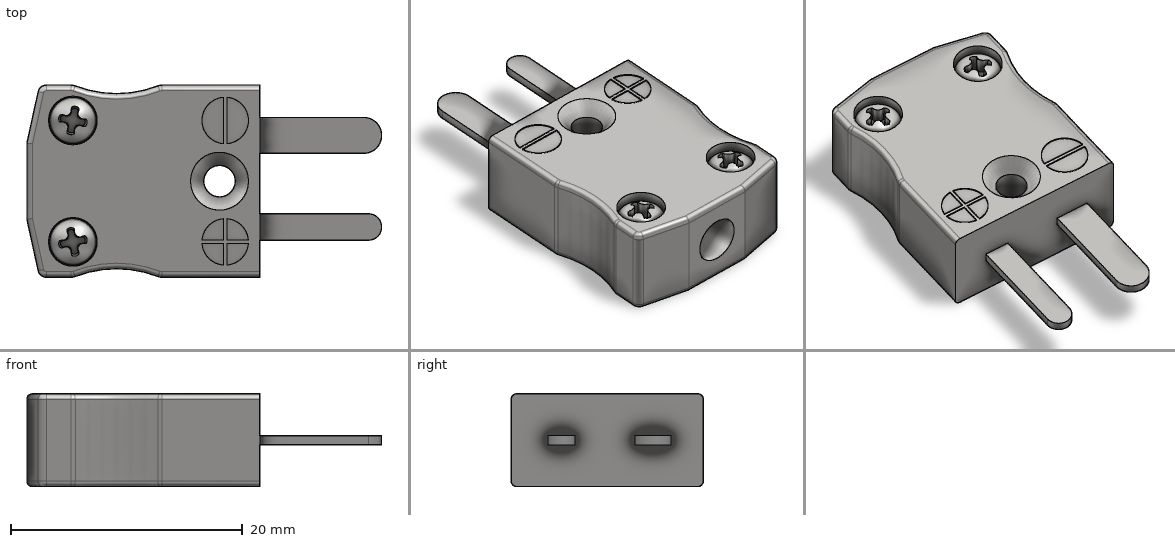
import cadquery as cq
import math


TOTAL_LENGTH = 30.65
HOUSING_LENGTH = 20.15
HOUSING_WIDTH = 16.6
HOUSING_HEIGHT = 8.03
TOP_Z = HOUSING_HEIGHT / 2
SIDE_Y = HOUSING_WIDTH / 2
NOSE_HALF_WIDTH = 3.28
SHOULDER_X = 1.1
SHOULDER_RADIUS = 0.75
EDGE_RADIUS = 0.5

GRIP_CENTER_X = 7.75
GRIP_HALF_LENGTH = 3.75
GRIP_DEPTH = 0.75
GRIP_END_RADIUS = 1.0

CABLE_HOLE_DIAMETER = 4.0
CABLE_HOLE_DEPTH = 9.2

MOUNT_X = 16.65
MOUNT_DIAMETER = 2.7
MOUNT_SINK_DIAMETER = 5.0
MOUNT_SINK_ANGLE = 90.0

MARK_X = 17.13
MARK_DIAMETER = 4.0
MARK_DEPTH = 0.1
MARK_BAR_WIDTH = 0.3

SCREW_X = 3.98
ROW_Y = 5.25
SCREW_POCKET_DIAMETER = 4.2
SCREW_POCKET_DEPTH = 2.0
SCREW_DIAMETER = 4.0
SCREW_RIM_BEVEL = 0.1
SCREW_RIM_DEPTH = 0.8
SCREW_DOME_HEIGHT = 0.75
DOME_TOP_Z = TOP_Z - SCREW_RIM_DEPTH + SCREW_DOME_HEIGHT
SCREW_TURN = 11.0

RECESS_FLOOR_DEPTH = 1.6
RECESS_TIP_RADIUS = 1.3
RECESS_ARM_HALF_WIDTH = 0.35
RECESS_ROOT_RADIUS = 0.6
FLOOR_TIP_RADIUS = 1.07
FLOOR_ARM_HALF_WIDTH = 0.28
FLOOR_ROOT_RADIUS = 0.55
ARM_TIP_BULGE = 0.15
ARM_SIDE_LENGTH = 0.18

PIN_Y = 3.95
PIN_THICKNESS = 0.8
WIDE_PIN_WIDTH = 3.13
NARROW_PIN_WIDTH = 2.3


def housing_block():
    grip_start = GRIP_CENTER_X - GRIP_HALF_LENGTH
    grip_end = GRIP_CENTER_X + GRIP_HALF_LENGTH
    grip_y = SIDE_Y - GRIP_DEPTH
    block = (
        cq.Workplane("XY")
        .workplane(offset=-TOP_Z)
        .moveTo(0, NOSE_HALF_WIDTH)
        .lineTo(SHOULDER_X, SIDE_Y)
        .lineTo(grip_start, SIDE_Y)
        .threePointArc((GRIP_CENTER_X, grip_y), (grip_end, SIDE_Y))
        .lineTo(HOUSING_LENGTH, SIDE_Y)
        .lineTo(HOUSING_LENGTH, -SIDE_Y)
        .lineTo(grip_end, -SIDE_Y)
        .threePointArc((GRIP_CENTER_X, -grip_y), (grip_start, -SIDE_Y))
        .lineTo(SHOULDER_X, -SIDE_Y)
        .lineTo(0, -NOSE_HALF_WIDTH)
        .close()
        .extrude(HOUSING_HEIGHT)
    )
    block = round_upright_edges(block, SHOULDER_X, SHOULDER_RADIUS)
    block = round_upright_edges(block, grip_start, GRIP_END_RADIUS)
    block = round_upright_edges(block, grip_end, GRIP_END_RADIUS)
    return block.faces("|Z").edges("not(>X)").fillet(EDGE_RADIUS)


def round_upright_edges(block, x, radius):
    """Round the two upright edges at the given X, one on each side."""
    margin = 0.15
    selector = cq.selectors.BoxSelector(
        (x - margin, -HOUSING_WIDTH, -HOUSING_HEIGHT),
        (x + margin, HOUSING_WIDTH, HOUSING_HEIGHT),
    )
    return block.edges("|Z").edges(selector).fillet(radius)


def cable_hole():
    return cq.Workplane("YZ").circle(CABLE_HOLE_DIAMETER / 2).extrude(CABLE_HOLE_DEPTH)


def polarity_mark(y, bar_angles):
    """Shallow disc at row y, with one standing bar for each angle."""
    mark = cq.Workplane("XY").circle(MARK_DIAMETER / 2).extrude(-MARK_DEPTH)
    for angle in bar_angles:
        bar = cq.Workplane("XY").rect(MARK_DIAMETER, MARK_BAR_WIDTH).extrude(-MARK_DEPTH)
        mark = mark.cut(bar.rotate((0, 0, 0), (0, 0, 1), angle))
    return mark.translate((MARK_X, y, TOP_Z))


def make_housing():
    housing = housing_block().cut(cable_hole())
    top = cq.Workplane("XY", origin=(0, 0, TOP_Z))
    housing = housing.cut(
        top.pushPoints([(SCREW_X, ROW_Y), (SCREW_X, -ROW_Y)])
        .circle(SCREW_POCKET_DIAMETER / 2)
        .extrude(-SCREW_POCKET_DEPTH)
    )
    housing = (
        housing.faces(">Z")
        .workplane(origin=(MOUNT_X, 0, TOP_Z))
        .cskHole(MOUNT_DIAMETER, MOUNT_SINK_DIAMETER, MOUNT_SINK_ANGLE)
    )
    housing = housing.cut(polarity_mark(ROW_Y, [90]))
    return housing.cut(polarity_mark(-ROW_Y, [0, 90]))


def turned(x, y, degrees):
    """Point (x, y) turned about the origin."""
    angle = math.radians(degrees)
    return (
        x * math.cos(angle) - y * math.sin(angle),
        x * math.sin(angle) + y * math.cos(angle),
    )


def cross_outline(z, tip_radius, arm_half_width, root_radius):
    """Four-armed cross with round tips and a round hollow between neighbouring arms."""
    side_end = tip_radius - ARM_TIP_BULGE
    side_start = side_end - ARM_SIDE_LENGTH
    outline = cq.Workplane("XY", origin=(0, 0, z)).moveTo(side_start, -arm_half_width)
    for arm_angle in (0, 90, 180, 270):
        outline = outline.lineTo(*turned(side_end, -arm_half_width, arm_angle))
        outline = outline.threePointArc(
            turned(tip_radius, 0, arm_angle), turned(side_end, arm_half_width, arm_angle)
        )
        outline = outline.lineTo(*turned(side_start, arm_half_width, arm_angle))
        outline = outline.threePointArc(
            turned(root_radius, 0, arm_angle + 45),
            turned(side_start, -arm_half_width, arm_angle + 90),
        )
    return outline.wire().val()


def screw_recess():
    floor = cross_outline(
        TOP_Z - RECESS_FLOOR_DEPTH, FLOOR_TIP_RADIUS, FLOOR_ARM_HALF_WIDTH, FLOOR_ROOT_RADIUS
    )
    mouth = cross_outline(DOME_TOP_Z, RECESS_TIP_RADIUS, RECESS_ARM_HALF_WIDTH, RECESS_ROOT_RADIUS)
    return cq.Workplane(obj=cq.Solid.makeLoft([floor, mouth], True))


def make_screw(y, turn):
    """Domed screw head resting on the floor of its pocket."""
    radius = SCREW_DIAMETER / 2
    dome_edge = radius - SCREW_RIM_BEVEL
    base_z = TOP_Z - SCREW_POCKET_DEPTH
    rim_z = TOP_Z - SCREW_RIM_DEPTH
    dome_radius = (dome_edge**2 + SCREW_DOME_HEIGHT**2) / (2 * SCREW_DOME_HEIGHT)
    half_angle = math.asin(dome_edge / dome_radius) / 2
    dome_center_z = DOME_TOP_Z - dome_radius
    dome_middle = (
        dome_radius * math.sin(half_angle),
        dome_center_z + dome_radius * math.cos(half_angle),
    )
    head = (
        cq.Workplane("XZ")
        .moveTo(0, base_z)
        .lineTo(radius, base_z)
        .lineTo(radius, rim_z - SCREW_RIM_BEVEL)
        .lineTo(dome_edge, rim_z)
        .threePointArc(dome_middle, (0, DOME_TOP_Z))
        .close()
        .revolve(360, (0, 0, 0), (0, 1, 0))
    )
    screw = head.cut(screw_recess())
    return screw.rotate((0, 0, 0), (0, 0, 1), turn).translate((SCREW_X, y, 0))


def make_pin(y, width):
    """Flat pin with a round tip, standing on the +X face of the housing."""
    round_start_x = TOTAL_LENGTH - width / 2
    return (
        cq.Workplane("XY")
        .workplane(offset=-PIN_THICKNESS / 2)
        .moveTo(HOUSING_LENGTH, y - width / 2)
        .lineTo(round_start_x, y - width / 2)
        .threePointArc((TOTAL_LENGTH, y), (round_start_x, y + width / 2))
        .lineTo(HOUSING_LENGTH, y + width / 2)
        .close()
        .extrude(PIN_THICKNESS)
    )


housing = make_housing()
screws = [make_screw(side * ROW_Y, -side * SCREW_TURN) for side in (1, -1)]
pins = [make_pin(PIN_Y, WIDE_PIN_WIDTH), make_pin(-PIN_Y, NARROW_PIN_WIDTH)]

result = cq.Compound.makeCompound([body.val() for body in [housing, *screws, *pins]])